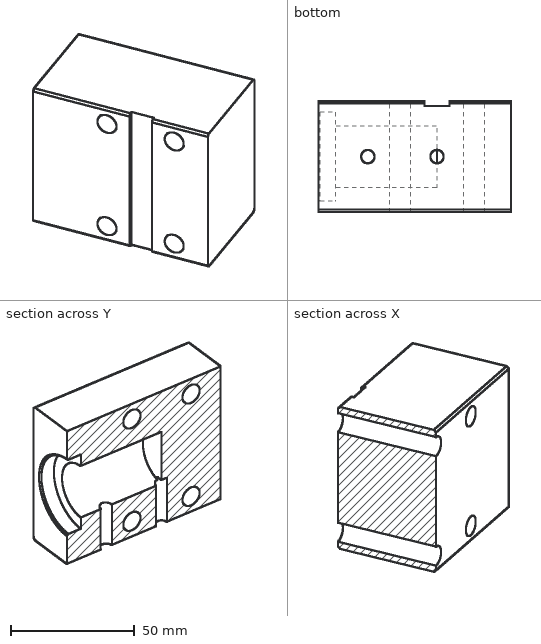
import cadquery as cq

LENGTH = 78.0
DEPTH = 45.0
HEIGHT = 65.0
EDGE_CHAMFER = 1.0

LEFT = -LENGTH / 2
FRONT = -DEPTH / 2

GROOVE_CENTRE_X = 9.0
GROOVE_WIDTH = 10.0
GROOVE_DEPTH = 2.0

MOUNT_HOLE_DIAMETER = 8.5
MOUNT_PITCH_X = 30.0
MOUNT_PITCH_Z = 50.0

BORE_DIAMETER = 25.0
COUNTERBORE_DIAMETER = 36.0
COUNTERBORE_DEPTH = 7.0
MOUTH_CHAMFER = 0.7

PORT_DIAMETER = 5.4
PORT_TOP_Z = -11.0
FRONT_PORT_X = LEFT + 20.0
REAR_PORT_X = GROOVE_CENTRE_X

BORE_END_X = REAR_PORT_X


def make_block():
    """Rectangular block with its four long edges chamfered."""
    block = cq.Workplane("XY").box(LENGTH, DEPTH, HEIGHT)
    return block.edges("|X").chamfer(EDGE_CHAMFER)


def make_groove():
    """Straight groove running the full height of the front face."""
    groove = cq.Workplane("XY").box(GROOVE_WIDTH, GROOVE_DEPTH, HEIGHT)
    return groove.translate((GROOVE_CENTRE_X, FRONT + GROOVE_DEPTH / 2, 0))


def make_mount_holes():
    """Four holes passing through the block along Y."""
    return (
        cq.Workplane("XZ")
        .center(GROOVE_CENTRE_X, 0)
        .rarray(MOUNT_PITCH_X, MOUNT_PITCH_Z, 2, 2)
        .circle(MOUNT_HOLE_DIAMETER / 2)
        .extrude(DEPTH / 2, both=True)
    )


def make_bore():
    """Half profile of the stepped bore, revolved about the X axis."""
    bore_radius = BORE_DIAMETER / 2
    counterbore_radius = COUNTERBORE_DIAMETER / 2
    counterbore_floor_x = LEFT + COUNTERBORE_DEPTH
    profile = [
        (LEFT, 0),
        (LEFT, counterbore_radius + MOUTH_CHAMFER),
        (LEFT + MOUTH_CHAMFER, counterbore_radius),
        (counterbore_floor_x, counterbore_radius),
        (counterbore_floor_x, bore_radius),
        (BORE_END_X, bore_radius),
        (BORE_END_X, 0),
    ]
    return cq.Workplane("XZ").polyline(profile).close().revolve(360, (0, 0), (1, 0))


def make_port(x):
    """Vertical blind hole from the bottom face, ending just above the lowest line of the bore."""
    bottom_z = -HEIGHT / 2
    return (
        cq.Workplane("XY", origin=(x, 0, bottom_z))
        .circle(PORT_DIAMETER / 2)
        .extrude(PORT_TOP_Z - bottom_z)
    )


result = (
    make_block()
    .cut(make_groove())
    .cut(make_mount_holes())
    .cut(make_bore())
    .cut(make_port(FRONT_PORT_X))
    .cut(make_port(REAR_PORT_X))
)